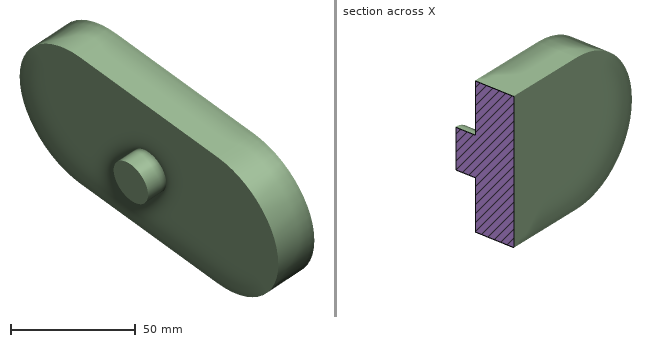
import cadquery as cq

length = 150.0
height = 70.0
total_depth = 30.0

pin_diameter = 20.0
pin_length = 10.0

plate_thickness = total_depth - pin_length


def make_plate():
    """Upright plate with semicircular ends; its front face lies at Y = 0."""
    return cq.Workplane("XZ").slot2D(length, height).extrude(-plate_thickness)


def make_pin():
    """Pin standing out of the front face toward -Y."""
    return cq.Workplane("XZ").circle(pin_diameter / 2).extrude(pin_length)


result = make_plate().union(make_pin())